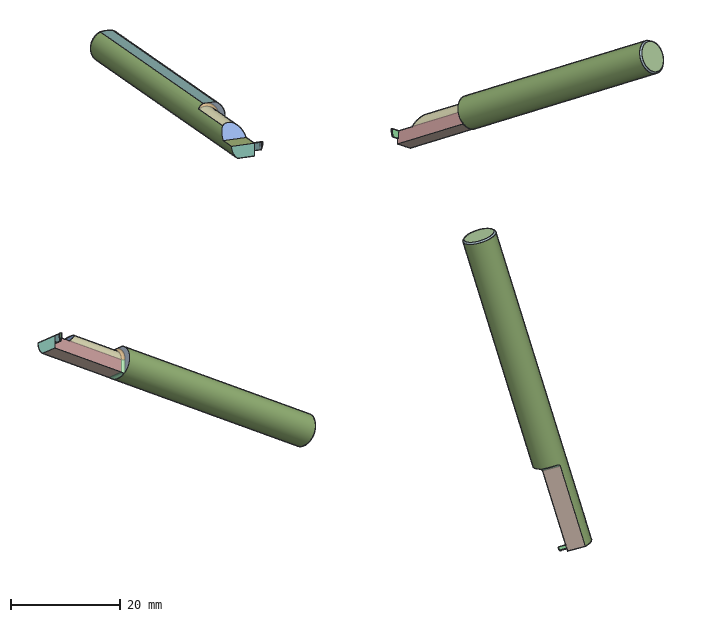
import cadquery as cq


overall_length = 63.5
shank_radius = 6.35 / 2
shank_length = 46.4
shank_height = 6.1
flat_z = shank_height - shank_radius
back_chamfer = 0.3

neck_radius = 2.5
neck_axis_y = -1.05
neck_back_y = neck_axis_y + neck_radius
neck_root_fillet = 0.5

cut_margin = 1.0
stock_size = 4 * shank_radius

rake_z = 0.0
head_end_x = 63.38
rake_start_x = 59.7
ramp_run = 2 * neck_radius

tooth_width = 0.36
tooth_height = 1.5
tooth_relief_angle = 4.0
tooth_back_x = head_end_x - tooth_width
tooth_root_y = neck_back_y - cut_margin
barb_drop = 0.4
barb_y = shank_radius - barb_drop
barb_height = 0.2
tip_corner = 0.12


def bar_envelope():
    """Full-length flatted bar that bounds every part of the tool."""
    bar = cq.Workplane("YZ").circle(shank_radius).extrude(overall_length)
    bar = bar.faces("<X").chamfer(back_chamfer)
    above_flat = (
        cq.Workplane("XY", origin=(0, 0, flat_z))
        .rect(2 * (overall_length + cut_margin), stock_size)
        .extrude(shank_radius)
    )
    return bar.cut(above_flat)


def shank_and_neck(envelope):
    """Shank stepping down to the neck, with a filleted root, trimmed by the bar surface.

    The neck section is half round above the axis and square below it.
    """
    stock = cq.Workplane("YZ").rect(stock_size, stock_size).extrude(shank_length)
    neck = (
        cq.Workplane("YZ", origin=(shank_length, 0, 0))
        .moveTo(neck_back_y, -neck_radius)
        .lineTo(neck_back_y, 0)
        .threePointArc((neck_axis_y, neck_radius), (neck_axis_y - neck_radius, 0))
        .lineTo(neck_axis_y - neck_radius, -neck_radius)
        .close()
        .extrude(head_end_x - shank_length)
    )
    search_half_width = neck_radius - neck_axis_y + cut_margin
    root_edges = cq.selectors.BoxSelector(
        (shank_length - cut_margin, -search_half_width, -search_half_width),
        (shank_length + cut_margin, search_half_width, search_half_width),
    )
    stepped = stock.union(neck).edges(root_edges).fillet(neck_root_fillet)
    return stepped.intersect(envelope)


def rake_cut():
    """Material removed above the rake plane, including the 45 degree ramp."""
    return (
        cq.Workplane("XZ")
        .moveTo(rake_start_x, rake_z)
        .lineTo(overall_length + cut_margin, rake_z)
        .lineTo(overall_length + cut_margin, rake_z + ramp_run)
        .lineTo(rake_start_x - ramp_run, rake_z + ramp_run)
        .close()
        .extrude(2 * shank_radius, both=True)
    )


def tooth(envelope):
    """Barbed blade below the rake plane, with relief under its edges, trimmed by the bar surface."""
    blade = (
        cq.Workplane("XY", origin=(0, 0, rake_z))
        .moveTo(tooth_back_x, tooth_root_y)
        .lineTo(tooth_back_x, shank_radius - tip_corner)
        .lineTo(tooth_back_x + tip_corner, shank_radius)
        .lineTo(head_end_x, shank_radius)
        .lineTo(overall_length, barb_y)
        .lineTo(head_end_x, barb_y - barb_height)
        .lineTo(head_end_x, tooth_root_y)
        .close()
        .extrude(-tooth_height, taper=tooth_relief_angle)
    )
    return blade.intersect(envelope)


bar = bar_envelope()
body = shank_and_neck(bar).cut(rake_cut())
result = body.union(tooth(bar))